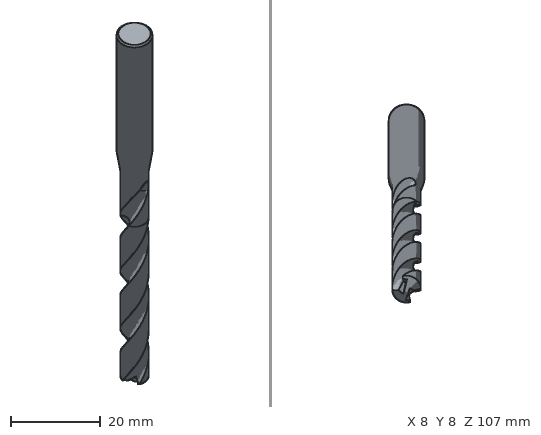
import cadquery as cq
import math

LENGTH = 107.0
SHANK_DIAMETER = 8.0
SHANK_RADIUS = SHANK_DIAMETER / 2
DRILL_RADIUS = 3.2
SHANK_CHAMFER = 0.4

POINT_HEIGHT = 1.7
JOINT_Z = 50.5
FLUTE_END_Z = 59.5
NECK_TOP_Z = 65.0
SHANK_BOTTOM_Z = 70.7

FLUTE_COUNT = 2
HELIX_ANGLE = 29.7
CORE_RADIUS = 1.5
FLUTE_RADIUS = 2.4
FLUTE_START_ANGLE = -86.0
FLUTE_OFFSET = CORE_RADIUS + FLUTE_RADIUS
PITCH = 2 * math.pi * DRILL_RADIUS / math.tan(math.radians(HELIX_ANGLE))

RUNOUT_LENGTH = 2 * DRILL_RADIUS
RUNOUT_LEAN = 3.0

GASH_PEAK_X = 1.2
GASH_PEAK_Z = 2.7
GASH_HALF_WIDTH = 2.5
GASH_HEIGHT = 2.7
GASH_WEB = 0.5


def helix_turn(height):
    """Angle in degrees that the helix turns over a height."""
    return 360 * height / PITCH


def turn_about_axis(body, angle):
    return body.rotate((0, 0, 0), (0, 0, 1), angle)


def make_helical_groove(bottom_z, top_z):
    """Stretch of the groove between two heights, for the flute that starts on the +X side."""
    height = top_z - bottom_z
    profile = cq.Workplane("XY").moveTo(FLUTE_OFFSET, 0).circle(FLUTE_RADIUS)
    groove = profile.twistExtrude(height, helix_turn(height)).translate((0, 0, bottom_z))
    return turn_about_axis(groove, helix_turn(bottom_z))


def make_runout():
    """Straight groove from the end of the helix that rises and leans out of the neck."""
    rise = RUNOUT_LENGTH * PITCH / (2 * math.pi * FLUTE_OFFSET)
    center = cq.Vector(FLUTE_OFFSET, 0, FLUTE_END_Z)
    profile = cq.Wire.makeCircle(FLUTE_RADIUS, center, cq.Vector(0, 0, 1))
    runout = cq.Solid.extrudeLinear(profile, [], cq.Vector(RUNOUT_LEAN, RUNOUT_LENGTH, rise))
    return turn_about_axis(cq.Workplane(runout), helix_turn(FLUTE_END_Z))


def make_gash():
    """V notch across the first flute at the point, which thins the web."""
    profile = cq.Workplane("XZ", origin=(0, -GASH_WEB, 0)).polyline([
        (GASH_PEAK_X - GASH_HALF_WIDTH, GASH_PEAK_Z - GASH_HEIGHT),
        (GASH_PEAK_X, GASH_PEAK_Z),
        (GASH_PEAK_X + GASH_HALF_WIDTH, GASH_PEAK_Z - GASH_HEIGHT),
    ])
    return profile.close().extrude(DRILL_RADIUS)


def cut_at_each_flute(body, cutter, first_angle):
    """Cut one copy of the cutter per flute, evenly spaced about the axis."""
    for index in range(FLUTE_COUNT):
        body = body.cut(turn_about_axis(cutter, first_angle + index * 360 / FLUTE_COUNT))
    return body


def revolve_profile(points):
    """Turn an (r, z) outline about the Z axis."""
    return cq.Workplane("XZ").polyline(points).close().revolve(360, (0, 0, 0), (0, 1, 0))


def make_cutting_part():
    """Pointed lower body with the helical flutes."""
    blank = revolve_profile([
        (0, 0),
        (DRILL_RADIUS, POINT_HEIGHT),
        (DRILL_RADIUS, JOINT_Z),
        (0, JOINT_Z),
    ])
    fluted = cut_at_each_flute(blank, make_helical_groove(0, JOINT_Z), FLUTE_START_ANGLE)
    return cut_at_each_flute(fluted, make_gash(), 0)


def make_shank_part():
    """Shank, cone and neck, with the upper flute ends in the neck."""
    blank = revolve_profile([
        (0, JOINT_Z),
        (DRILL_RADIUS, JOINT_Z),
        (DRILL_RADIUS, NECK_TOP_Z),
        (SHANK_RADIUS, SHANK_BOTTOM_Z),
        (SHANK_RADIUS, LENGTH),
        (0, LENGTH),
    ])
    blank = blank.faces(">Z").chamfer(SHANK_CHAMFER)
    fluted = cut_at_each_flute(blank, make_helical_groove(JOINT_Z, FLUTE_END_Z), FLUTE_START_ANGLE)
    return cut_at_each_flute(fluted, make_runout(), FLUTE_START_ANGLE)


cutting_part = make_cutting_part()
shank_part = make_shank_part()
result = cq.Compound.makeCompound([cutting_part.val(), shank_part.val()])